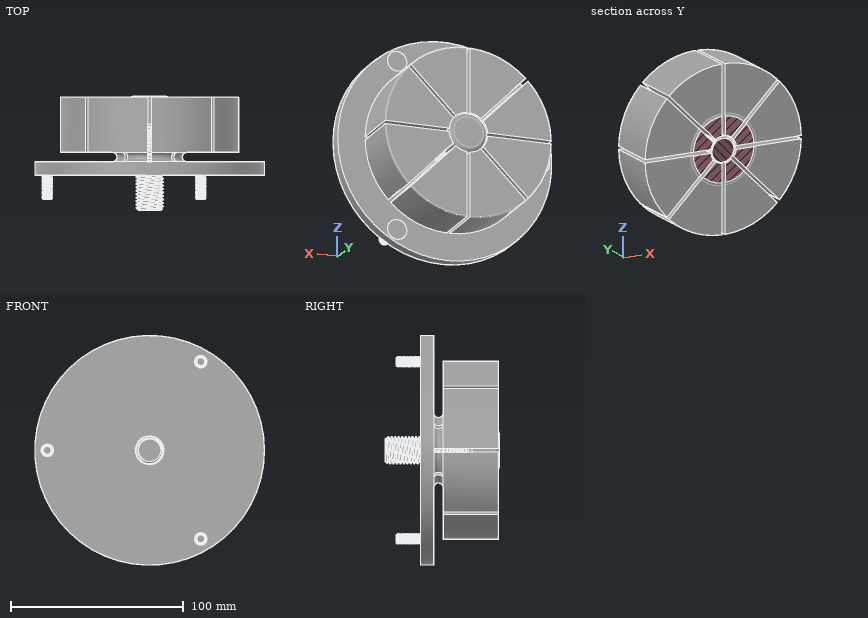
import cadquery as cq
import math


flange_radius = 66.5
flange_thickness = 7.8
gap = 5.3
drum_radius = 51.5
drum_back = 45.3
drum_edge_fillet = 0.4
neck_radius = 19.0
slot_width = 2.0
slot_count = 8
drum_front = flange_thickness + gap

bolt_radius = 8.0
bolt_pitch = 2.0
bolt_reach = 20.3
bolt_tip_chamfer = 1.5
bolt_hole_radius = 8.2
head_radius = 12.0
head_height = 2 * bolt_radius
head_fillet = 2.8
head_back = 45.7
head_seat = head_back - head_height

screw_radius = 2.99
screw_pitch = 1.0
screw_reach = 14.1
screw_tip_chamfer = 0.73
screw_hole_radius = 3.6
screw_head_radius = 2 * screw_radius
screw_circle_radius = 59.1
screw_angles = [60, 180, 300]
screw_cone_height = screw_head_radius - screw_radius

thread_depth_ratio = 17 / 24 * math.cos(math.radians(30))
groove_mouth_ratio = 7 / 8
groove_root_ratio = 1 / 6


def revolve_about_axis(outline):
    """Turn a closed outline, drawn as (radius, Y), about the Y axis."""
    return outline.close().revolve(360, (0, 0, 0), (0, 1, 0))


def thread_groove(radius, pitch, first, last):
    """Right-hand helical groove about local Z, whose middle runs from first to last."""
    depth = pitch * thread_depth_ratio
    flank_slope = pitch * (groove_mouth_ratio - groove_root_ratio) / 2 / depth
    overshoot = 0.1 * depth
    root_half = pitch * groove_root_ratio / 2
    mouth_half = root_half + flank_slope * (depth + overshoot)
    root = radius - depth
    mouth = radius + overshoot
    corners = [(root, -root_half), (mouth, -mouth_half), (mouth, mouth_half), (root, root_half)]
    helices = [
        cq.Wire.makeHelix(pitch, last - first, corner_radius).translate(cq.Vector(0, 0, height))
        for corner_radius, height in corners
    ]
    faces = []
    for helix, next_helix in zip(helices, helices[1:] + helices[:1]):
        faces.extend(cq.Face.makeRuledSurface(helix, next_helix).Faces())
    for end_points in (
        [helix.startPoint() for helix in helices],
        [helix.endPoint() for helix in helices],
    ):
        faces.append(cq.Face.makeFromWires(cq.Wire.makePolygon(end_points, close=True)))
    cutter = cq.Solid.makeSolid(cq.Shell.makeShell(faces))
    start_turn = 360 * first / pitch
    turned = cutter.rotate(cq.Vector(0, 0, 0), cq.Vector(0, 0, 1), start_turn + 180)
    return turned.translate(cq.Vector(0, 0, first))


def cut_thread(blank, radius, pitch, seat, reach):
    """Cut a thread into a blank along Y, from Y = seat to its tip at Y = -reach."""
    first = pitch / 2 - seat
    last = reach + pitch
    groove = thread_groove(radius, pitch, first, last)
    groove = groove.rotate(cq.Vector(0, 0, 0), cq.Vector(1, 0, 0), 90)
    blank = blank.rotate((0, 0, 0), (0, 1, 0), 45)
    return blank.cut(groove).solids()


def make_collet():
    """Flange, grooved neck and slotted drum in one piece, bored for the bolt and the screws."""
    groove_radius = gap / 2
    shoulder_radius = neck_radius + groove_radius
    waist = flange_thickness + groove_radius
    half_chord = groove_radius * math.sin(math.radians(45))
    arc_radius = shoulder_radius - half_chord
    outline = (
        cq.Workplane("XY")
        .moveTo(bolt_hole_radius, 0)
        .lineTo(flange_radius, 0)
        .lineTo(flange_radius, flange_thickness)
        .lineTo(shoulder_radius, flange_thickness)
        .threePointArc((arc_radius, waist - half_chord), (neck_radius, waist))
        .threePointArc((arc_radius, waist + half_chord), (shoulder_radius, drum_front))
        .lineTo(drum_radius, drum_front)
        .lineTo(drum_radius, drum_back)
        .lineTo(head_radius, drum_back)
        .lineTo(head_radius, head_seat)
        .lineTo(bolt_hole_radius, head_seat)
    )
    collet = revolve_about_axis(outline)
    collet = collet.faces(">Y").edges(cq.selectors.RadiusNthSelector(-1)).fillet(drum_edge_fillet)

    slot_length = drum_back - flange_thickness
    slot = cq.Workplane("XY").box(2 * flange_radius, slot_length, slot_width)
    slot = slot.translate((0, flange_thickness + slot_length / 2, 0))
    for index in range(slot_count // 2):
        collet = collet.cut(slot.rotate((0, 0, 0), (0, 1, 0), index * 360 / slot_count))

    for angle in screw_angles:
        collet = collet.cut(place_on_screw_circle(make_screw_hole(), angle))
    return collet.solids()


def make_screw_hole():
    """Clearance hole and countersink, on the Y axis."""
    countersink_start = flange_thickness - (screw_head_radius - screw_hole_radius)
    outline = (
        cq.Workplane("XY")
        .lineTo(screw_hole_radius, 0)
        .lineTo(screw_hole_radius, countersink_start)
        .lineTo(screw_head_radius, flange_thickness)
        .lineTo(0, flange_thickness)
    )
    return revolve_about_axis(outline)


def make_bolt():
    """Cap bolt with a rounded head, threaded up to the head."""
    outline = (
        cq.Workplane("XY")
        .moveTo(0, -bolt_reach)
        .lineTo(bolt_radius - bolt_tip_chamfer, -bolt_reach)
        .lineTo(bolt_radius, bolt_tip_chamfer - bolt_reach)
        .lineTo(bolt_radius, head_seat)
        .lineTo(head_radius, head_seat)
        .lineTo(head_radius, head_back)
        .lineTo(0, head_back)
    )
    blank = revolve_about_axis(outline).faces(">Y").edges().fillet(head_fillet)
    return cut_thread(blank, bolt_radius, bolt_pitch, head_seat, bolt_reach)


def make_screw():
    """Threaded screw on the Y axis, its countersunk head flush with the back of the flange."""
    cone_start = flange_thickness - screw_cone_height
    outline = (
        cq.Workplane("XY")
        .moveTo(0, -screw_reach)
        .lineTo(screw_radius - screw_tip_chamfer, -screw_reach)
        .lineTo(screw_radius, screw_tip_chamfer - screw_reach)
        .lineTo(screw_radius, cone_start)
        .lineTo(screw_head_radius, flange_thickness)
        .lineTo(0, flange_thickness)
    )
    blank = revolve_about_axis(outline)
    return cut_thread(blank, screw_radius, screw_pitch, cone_start, screw_reach)


def place_on_screw_circle(body, angle):
    """Move a body from the Y axis to its place on the screw circle, without turning it."""
    x = screw_circle_radius * math.cos(math.radians(angle))
    z = screw_circle_radius * math.sin(math.radians(angle))
    return body.translate((x, 0, z))


collet = make_collet()
bolt = make_bolt()
screw = make_screw()
screws = [place_on_screw_circle(screw, angle).val() for angle in screw_angles]

result = cq.Compound.makeCompound([collet.val(), bolt.val(), *screws])